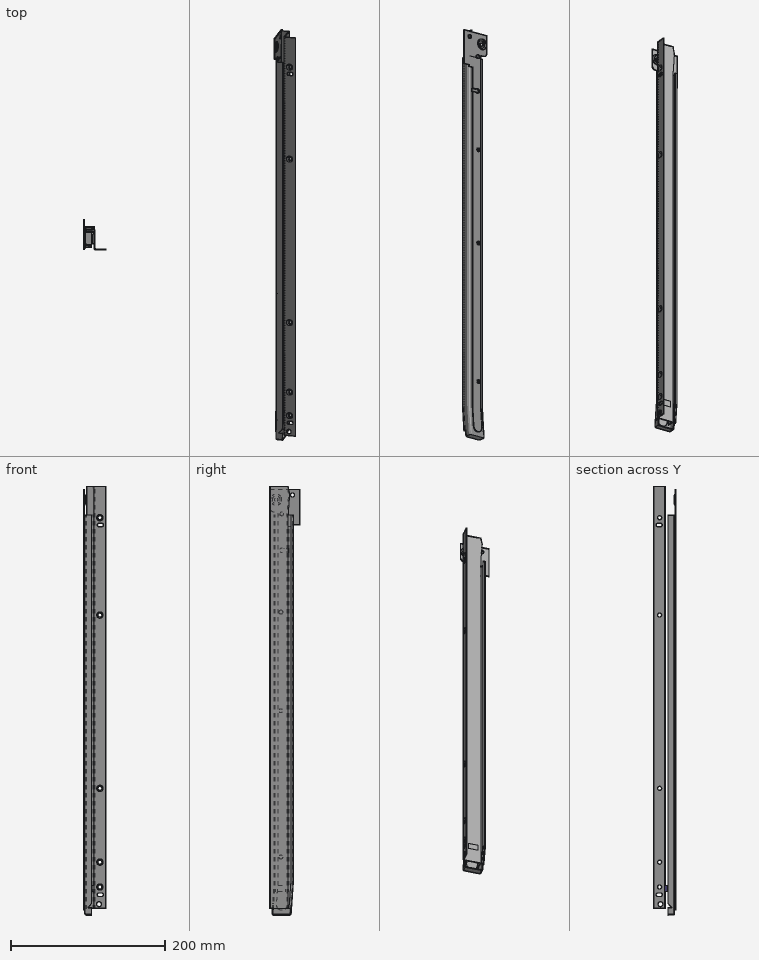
import cadquery as cq

LENGTH = 556.5
DEPTH = 39.5
WIDTH = 29.0
TOP_Z = LENGTH / 2
BOTTOM_Z = -LENGTH / 2
FRONT_Y = -DEPTH / 2
BACK_Y = DEPTH / 2
LEFT_X = -WIDTH / 2
RIGHT_X = WIDTH / 2
SHEET = 1.4

RAIL_BOTTOM_Z = -269.5
WEB_LEFT_X = -1.0
WEB_RIGHT_X = WEB_LEFT_X + SHEET
FLANGE_BEND = 3.0
TRACK_LEFT_X = -10.5
TRACK_BACK_Y = 4.5
TRACK_FRONT_Y = TRACK_BACK_Y - SHEET
TRACK_RISE = 1.95
TRACK_PEAK_Z = 268.5
TRACK_BEND = 1.5

STOP_HEIGHT = 2.0
STOP_FRONT_Y = -11.5
STOP_BACK_Y = 1.0
STOP_TOP_Z = -239.5
STOP_BOTTOM_Z = -247.5

HOLE_X = 6.5
SCREW_HOLE_Z = [237.5, 111.5, -113.5, -209.5, -241.5]
SCREW_DIAMETER = 5.0
SCREW_HEAD_DIAMETER = 8.5
SLOT_X = 7.0
SLOT_Z = [228.0, -251.5]
SLOT_LENGTH = 8.0
SLOT_WIDTH = 4.5
LOCATING_HOLE_X = 5.5
LOCATING_HOLE_Z = -264.0
LOCATING_DIAMETER = 6.0

CHANNEL_LEFT_X = LEFT_X + SHEET
CHANNEL_TOP_Z = 241.0
CHANNEL_BACK_Y = 11.0
CHANNEL_FRONT_Y = -14.0
CHANNEL_BEND = 3.0
FRONT_LEG_RIGHT_X = -4.0
BACK_LEG_RIGHT_X = -0.5
LIP_END_Y = 8.0
TILT_Z = -237.0
TILT_SLOPE = 0.07
NOTCH_TOP_Z = -263.0
NOTCH_BOTTOM_Z = -268.5
NOTCH_DEPTH = 5.0
END_WALL_BEND = 3.0

STRIP_BACK_Y = 5.3
STRIP_FRONT_Y = -9.0
STRIP_BOTTOM_Z = -271.5
PLATE_TOP_Z = 274.5
PLATE_BOTTOM_Z = 228.0
PLATE_STEP_Z = 226.0
PLATE_FRONT_Y = -19.0
PLATE_FRONT_BOTTOM_Z = 245.0
PLATE_CORNER = 5.5
MOUNT_HOLE_Y = 10.0
MOUNT_HOLE_Z = 267.0
SMALL_DIAMETER = 5.0
RIVET_HOLE_Y = -5.0
RIVET_HOLE_Z = [115.0, -13.0, -202.5]
UPPER_HOLE_Y = -4.0
UPPER_HOLE_Z = 242.5
KEYHOLE_Y = -3.5
KEYHOLE_Z = 195.5
KEYHOLE_DIAMETER = 6.0
KEYHOLE_SLOT_WIDTH = 4.5

DISH_Y = -11.0
DISH_Z = 261.0
DISH_RADIUS = 7.0
DISH_FLOOR_RADIUS = 5.0
DISH_HOLE_RADIUS = 2.0
DISH_DEPTH = 1.4


def tilt_shift(z):
    """Y offset of the lower end of the channel and bracket, which leans to the front."""
    return TILT_SLOPE * (z - TILT_Z)


def side_sheet(points, left_x, right_x):
    """Extrude a closed outline of (y, z) points from left_x to right_x."""
    return cq.Workplane("YZ", origin=(left_x, 0, 0)).polyline(points).close().extrude(right_x - left_x)


def cross_bar(y, z, diameter, length_from_left):
    """A bar along X that starts at the left side, for cutting round holes."""
    return (
        cq.Workplane("YZ", origin=(LEFT_X, 0, 0))
        .center(y, z)
        .circle(diameter / 2)
        .extrude(length_from_left)
    )


def make_rail():
    height = TOP_Z - RAIL_BOTTOM_Z
    flange = cq.Workplane("XY").box(RIGHT_X - WEB_LEFT_X, SHEET, height, centered=False)
    flange = flange.translate((WEB_LEFT_X, FRONT_Y, RAIL_BOTTOM_Z))

    track_back = [
        (TRACK_BACK_Y, RAIL_BOTTOM_Z),
        (TRACK_BACK_Y, CHANNEL_TOP_Z),
        (TRACK_BACK_Y + TRACK_RISE, TRACK_PEAK_Z),
        (TRACK_BACK_Y, TOP_Z),
    ]
    track_front = [(y - SHEET, z) for y, z in reversed(track_back)]
    track = side_sheet(track_back + track_front, TRACK_LEFT_X, WEB_RIGHT_X)
    web = side_sheet(track_back + [(FRONT_Y, TOP_Z), (FRONT_Y, RAIL_BOTTOM_Z)], WEB_LEFT_X, WEB_RIGHT_X)

    rail = flange.union(web).union(track)
    rail = round_rail_bends(rail).union(make_stop())
    return cut_flange_holes(rail)


def make_stop():
    outline = [
        (STOP_FRONT_Y, STOP_BOTTOM_Z),
        (STOP_BACK_Y, STOP_BOTTOM_Z),
        (STOP_BACK_Y, STOP_TOP_Z),
        (STOP_FRONT_Y, STOP_TOP_Z),
    ]
    return side_sheet(outline, WEB_LEFT_X - STOP_HEIGHT, WEB_LEFT_X)


def edges_beside(body, x, front_y, back_y):
    """The edges whose midpoints lie at x, between front_y and back_y."""
    reach = 0.05
    box = cq.selectors.BoxSelector((x - reach, front_y, BOTTOM_Z), (x + reach, back_y, TOP_Z))
    return body.edges(box)


def round_rail_bends(rail):
    half = SHEET / 2
    inside_y = FRONT_Y + SHEET
    outer_corner = edges_beside(rail, WEB_LEFT_X, FRONT_Y - half, FRONT_Y + half).edges("|Z")
    rail = outer_corner.fillet(FLANGE_BEND)
    inner_corner = edges_beside(rail, WEB_RIGHT_X, inside_y - half, inside_y + half).edges("|Z")
    rail = inner_corner.fillet(FLANGE_BEND - SHEET)
    track_corner = edges_beside(rail, WEB_LEFT_X, TRACK_FRONT_Y - half, TRACK_BACK_Y + TRACK_RISE)
    return track_corner.fillet(TRACK_BEND)


def cut_flange_holes(rail):
    face = cq.Workplane("XZ", origin=(0, FRONT_Y, 0))
    for z in SCREW_HOLE_Z:
        cone = (
            face.center(HOLE_X, z)
            .circle(SCREW_HEAD_DIAMETER / 2)
            .workplane(offset=-SHEET)
            .circle(SCREW_DIAMETER / 2)
            .loft()
        )
        rail = rail.cut(cone)
    slots = face.pushPoints([(SLOT_X, z) for z in SLOT_Z]).slot2D(SLOT_LENGTH, SLOT_WIDTH).extrude(-SHEET)
    locating = face.center(LOCATING_HOLE_X, LOCATING_HOLE_Z).circle(LOCATING_DIAMETER / 2).extrude(-SHEET)
    return rail.cut(slots).cut(locating)


def channel_outline(filled):
    """Channel cross-section at the height where the lean starts; filled gives the end wall."""
    inner_bend = CHANNEL_BEND - SHEET
    wp = (
        cq.Workplane("XY", origin=(0, 0, TILT_Z))
        .moveTo(FRONT_LEG_RIGHT_X, CHANNEL_FRONT_Y)
        .lineTo(CHANNEL_LEFT_X + CHANNEL_BEND, CHANNEL_FRONT_Y)
        .radiusArc((CHANNEL_LEFT_X, CHANNEL_FRONT_Y + CHANNEL_BEND), CHANNEL_BEND)
        .lineTo(CHANNEL_LEFT_X, CHANNEL_BACK_Y - CHANNEL_BEND)
        .radiusArc((CHANNEL_LEFT_X + CHANNEL_BEND, CHANNEL_BACK_Y), CHANNEL_BEND)
    )
    if filled:
        return wp.lineTo(FRONT_LEG_RIGHT_X, CHANNEL_BACK_Y).close()
    left = CHANNEL_LEFT_X + SHEET
    front = CHANNEL_FRONT_Y + SHEET
    back = CHANNEL_BACK_Y - SHEET
    return (
        wp.lineTo(BACK_LEG_RIGHT_X, CHANNEL_BACK_Y)
        .lineTo(BACK_LEG_RIGHT_X, LIP_END_Y)
        .lineTo(BACK_LEG_RIGHT_X - SHEET, LIP_END_Y)
        .lineTo(BACK_LEG_RIGHT_X - SHEET, back)
        .lineTo(left + inner_bend, back)
        .radiusArc((left, back - inner_bend), -inner_bend)
        .lineTo(left, front + inner_bend)
        .radiusArc((left + inner_bend, front), -inner_bend)
        .lineTo(FRONT_LEG_RIGHT_X, front)
        .close()
    )


def leaning_extrude(outline, start_z, end_z):
    """Extrude the outline downwards along the lean, from start_z to end_z."""
    face = cq.Face.makeFromWires(outline.wires().val())
    start = face.translate(cq.Vector(0, tilt_shift(start_z), start_z - TILT_Z))
    path = cq.Vector(0, tilt_shift(end_z) - tilt_shift(start_z), end_z - start_z)
    return cq.Workplane(cq.Solid.extrudeLinear(start, path))


def make_channel():
    channel = channel_outline(False).extrude(CHANNEL_TOP_Z - TILT_Z)
    channel = channel.union(leaning_extrude(channel_outline(False), TILT_Z, BOTTOM_Z))
    end_wall = leaning_extrude(channel_outline(True), BOTTOM_Z + SHEET, BOTTOM_Z)
    narrow_end = (
        cq.Workplane("XY")
        .box(-LEFT_X, DEPTH, RAIL_BOTTOM_Z - BOTTOM_Z, centered=(False, True, False))
        .translate((FRONT_LEG_RIGHT_X, 0, BOTTOM_Z))
    )
    channel = channel.union(end_wall).cut(narrow_end)
    channel = channel.faces("<Z").edges("<X").fillet(END_WALL_BEND)

    notch = (
        cq.Workplane("XZ")
        .moveTo(FRONT_LEG_RIGHT_X, NOTCH_TOP_Z)
        .lineTo(FRONT_LEG_RIGHT_X - NOTCH_DEPTH, NOTCH_BOTTOM_Z)
        .lineTo(FRONT_LEG_RIGHT_X, NOTCH_BOTTOM_Z)
        .close()
        .extrude(-FRONT_Y)
    )
    channel = channel.cut(notch)
    return cut_shared_holes(channel)


def make_bracket():
    width = STRIP_BACK_Y - STRIP_FRONT_Y
    radius = width / 2
    arc_z = STRIP_BOTTOM_Z + radius
    arc_shift = tilt_shift(arc_z)
    tip = ((STRIP_BACK_Y + STRIP_FRONT_Y) / 2 + tilt_shift(STRIP_BOTTOM_Z), STRIP_BOTTOM_Z)
    bracket = (
        cq.Workplane("YZ", origin=(LEFT_X, 0, 0))
        .moveTo(BACK_Y, PLATE_TOP_Z)
        .lineTo(BACK_Y, PLATE_BOTTOM_Z)
        .lineTo(CHANNEL_BACK_Y, PLATE_BOTTOM_Z)
        .lineTo(CHANNEL_BACK_Y, PLATE_STEP_Z)
        .lineTo(STRIP_BACK_Y, PLATE_STEP_Z)
        .lineTo(STRIP_BACK_Y, TILT_Z)
        .lineTo(STRIP_BACK_Y + arc_shift, arc_z)
        .threePointArc(tip, (STRIP_FRONT_Y + arc_shift, arc_z))
        .lineTo(STRIP_FRONT_Y, TILT_Z)
        .lineTo(STRIP_FRONT_Y, PLATE_FRONT_BOTTOM_Z)
        .lineTo(PLATE_FRONT_Y + PLATE_CORNER, PLATE_FRONT_BOTTOM_Z)
        .radiusArc((PLATE_FRONT_Y, PLATE_FRONT_BOTTOM_Z + PLATE_CORNER), PLATE_CORNER)
        .lineTo(PLATE_FRONT_Y, PLATE_TOP_Z)
        .close()
        .extrude(SHEET)
    )
    bracket = bracket.cut(cross_bar(MOUNT_HOLE_Y, MOUNT_HOLE_Z, SMALL_DIAMETER, SHEET))
    return press_dish(cut_shared_holes(bracket))


def dish_cone(start_x):
    return (
        cq.Workplane("YZ", origin=(start_x, 0, 0))
        .center(DISH_Y, DISH_Z)
        .circle(DISH_RADIUS)
        .workplane(offset=DISH_DEPTH)
        .circle(DISH_FLOOR_RADIUS)
        .loft()
    )


def press_dish(bracket):
    bracket = bracket.union(dish_cone(LEFT_X + SHEET)).cut(dish_cone(LEFT_X))
    return bracket.cut(cross_bar(DISH_Y, DISH_Z, 2 * DISH_HOLE_RADIUS, SHEET + DISH_DEPTH))


def cut_shared_holes(body):
    depth = 2 * SHEET
    for z in RIVET_HOLE_Z:
        body = body.cut(cross_bar(RIVET_HOLE_Y, z, SMALL_DIAMETER, depth))
    body = body.cut(cross_bar(UPPER_HOLE_Y, UPPER_HOLE_Z, SMALL_DIAMETER, depth))
    body = body.cut(cross_bar(KEYHOLE_Y, KEYHOLE_Z, KEYHOLE_DIAMETER, depth))
    keyhole_slot = (
        cq.Workplane("XY")
        .box(depth, STRIP_BACK_Y - KEYHOLE_Y, KEYHOLE_SLOT_WIDTH, centered=(False, False, True))
        .translate((LEFT_X, KEYHOLE_Y, KEYHOLE_Z))
    )
    return body.cut(keyhole_slot)


rail = make_rail()
channel = make_channel()
bracket = make_bracket()

result = cq.Compound.makeCompound([body.solids().val() for body in (rail, channel, bracket)])